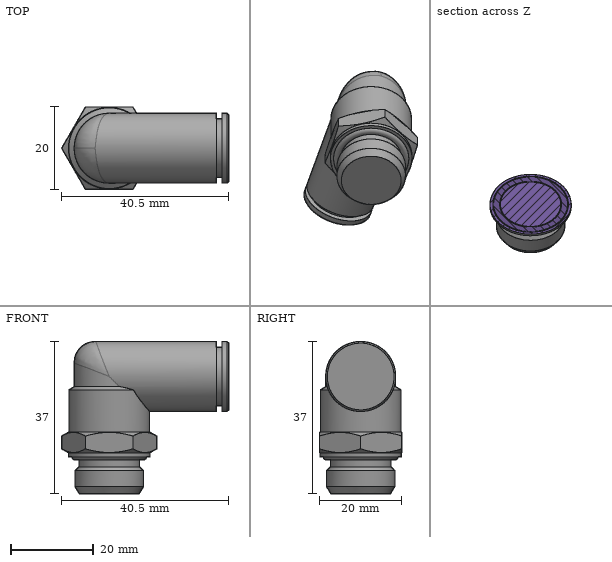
import cadquery as cq
import math


thread_diameter = 16.66
neck_diameter = 14.75
tip_diameter = 14.5
tip_height = 1.8
thread_top = 5.65
flange_diameter = 19.8
flange_bottom = 9.0
hex_bottom = 10.0
hex_height = 5.0
hex_across_flats = 20.0
hex_chamfer_angle = 30.0
hex_top = hex_bottom + hex_height
hex_corner_radius = hex_across_flats / math.sqrt(3)

ring_wire_diameter = 1.75
ring_exposed_height = 0.75
ring_centre_radius = (neck_diameter + ring_wire_diameter) / 2
ring_centre_height = flange_bottom - ring_exposed_height + ring_wire_diameter / 2
recess_radius = ring_centre_radius + ring_wire_diameter / 2
recess_top = ring_centre_height + ring_wire_diameter / 2

overall_height = 37.0
arm_diameter = 17.0
arm_radius = arm_diameter / 2
arm_axis_height = overall_height - arm_radius
arm_length = 26.0
corner_radius = 5.1
base_diameter = 19.6
base_shoulder_height = 25.25
base_shoulder_angle = 32.0

collar_end = 29.0
collar_head_length = 1.65
collar_head_diameter = 17.0
collar_neck_diameter = 14.3
collar_chamfer = 0.4


def make_stud():
    thread_radius = thread_diameter / 2
    neck_radius = neck_diameter / 2
    flange_radius = flange_diameter / 2
    thread_runout = thread_radius - neck_radius
    shank = (
        cq.Workplane("XZ")
        .moveTo(0, 0)
        .lineTo(tip_diameter / 2, 0)
        .lineTo(thread_radius, tip_height)
        .lineTo(thread_radius, thread_top)
        .lineTo(neck_radius, thread_top + thread_runout)
        .lineTo(neck_radius, recess_top)
        .lineTo(recess_radius, recess_top)
        .lineTo(recess_radius, flange_bottom)
        .lineTo(flange_radius, flange_bottom)
        .lineTo(flange_radius, hex_top)
        .lineTo(0, hex_top)
        .close()
        .revolve(360, (0, 0), (0, 1))
    )
    return shank.union(make_hexagon())


def make_hexagon():
    """Hexagon with a corner on the X axis, its corners turned off by a cone at both ends."""
    flange_radius = flange_diameter / 2
    chamfer_drop = (hex_corner_radius - flange_radius) * math.tan(math.radians(hex_chamfer_angle))
    prism = (
        cq.Workplane("XY")
        .workplane(offset=hex_bottom)
        .polygon(6, 2 * hex_corner_radius)
        .extrude(hex_height)
    )
    turned_blank = (
        cq.Workplane("XZ")
        .moveTo(0, hex_bottom)
        .lineTo(flange_radius, hex_bottom)
        .lineTo(hex_corner_radius, hex_bottom + chamfer_drop)
        .lineTo(hex_corner_radius, hex_top - chamfer_drop)
        .lineTo(flange_radius, hex_top)
        .lineTo(0, hex_top)
        .close()
        .revolve(360, (0, 0), (0, 1))
    )
    return prism.intersect(turned_blank)


def make_seal_ring():
    return (
        cq.Workplane("XZ")
        .center(ring_centre_radius, ring_centre_height)
        .circle(ring_wire_diameter / 2)
        .revolve(360, (-ring_centre_radius, 0), (-ring_centre_radius, 1))
    )


def sweep_through_bend(profile):
    """Carry a profile up the stud axis, through a sharp mitre and out along the arm."""
    centre_line = (
        cq.Workplane("XZ")
        .moveTo(0, hex_top)
        .lineTo(0, arm_axis_height)
        .lineTo(arm_length, arm_axis_height)
    )
    return profile.sweep(centre_line, transition="right")


def make_inner_bend():
    """Inner half of the bend, a half disc carried through the mitre."""
    half_disc = (
        cq.Workplane("XY")
        .workplane(offset=hex_top)
        .moveTo(0, -arm_radius)
        .threePointArc((arm_radius, 0), (0, arm_radius))
        .close()
    )
    return sweep_through_bend(half_disc)


def make_outer_bend_quarter():
    """Quarter of the bend on the outside of the corner, with its mitre edge rounded.

    The rounding fades out at the side of the bend, where the two cylinders become tangent.
    """
    arc_middle = arm_radius * math.sqrt(0.5)
    quarter_disc = (
        cq.Workplane("XY")
        .workplane(offset=hex_top)
        .lineTo(0, arm_radius)
        .threePointArc((-arc_middle, arc_middle), (-arm_radius, 0))
        .close()
    )
    return sweep_through_bend(quarter_disc).edges("%ELLIPSE").fillet(corner_radius)


def make_elbow():
    base_radius = base_diameter / 2
    shoulder_rise = (base_radius - arm_radius) * math.tan(math.radians(base_shoulder_angle))
    base = (
        cq.Workplane("XZ")
        .moveTo(0, hex_top)
        .lineTo(base_radius, hex_top)
        .lineTo(base_radius, base_shoulder_height)
        .lineTo(arm_radius, base_shoulder_height + shoulder_rise)
        .lineTo(0, base_shoulder_height + shoulder_rise)
        .close()
        .revolve(360, (0, 0), (0, 1))
    )
    far_quarter = make_outer_bend_quarter()
    near_quarter = far_quarter.mirror("XZ")
    return base.union(make_inner_bend()).union(near_quarter).union(far_quarter)


def make_collar():
    neck_length = collar_end - collar_head_length - arm_length
    neck = (
        cq.Workplane("YZ")
        .workplane(offset=arm_length)
        .center(0, arm_axis_height)
        .circle(collar_neck_diameter / 2)
        .extrude(neck_length)
    )
    head = (
        cq.Workplane("YZ")
        .workplane(offset=arm_length + neck_length)
        .center(0, arm_axis_height)
        .circle(collar_head_diameter / 2)
        .extrude(collar_head_length)
        .faces(">X")
        .chamfer(collar_chamfer)
    )
    return neck.union(head)


stud = make_stud()
seal_ring = make_seal_ring()
elbow = make_elbow()
collar = make_collar()

result = cq.Compound.makeCompound([stud.val(), seal_ring.val(), elbow.val(), collar.val()])